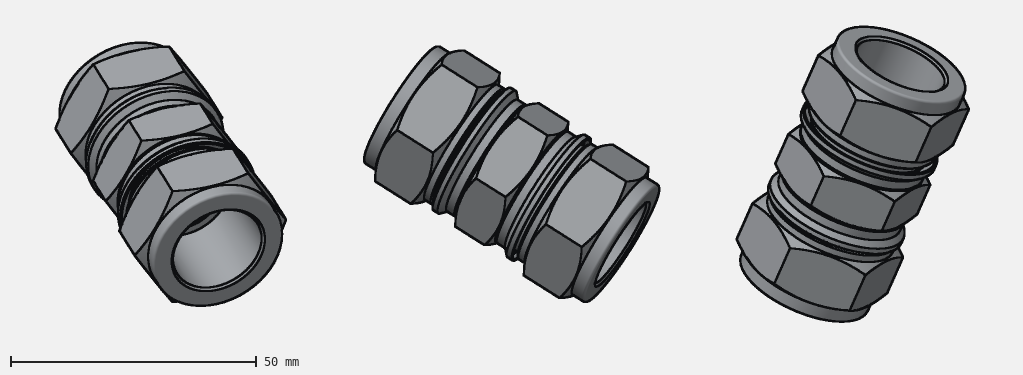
import cadquery as cq
import math

length = 53.85
half_length = length / 2
bore_diameter = 15.8
socket_diameter = 19.3
socket_depth = 18.85
socket_chamfer = 0.55

nut_corner_diameter = 33.0
nut_start = 2.95
nut_end = 14.7
nut_lip_diameter = 28.2
nut_lip_fillet = 0.55
nut_collar_diameter = 27.8
nut_collar_end = 16.65
nut_collar_chamfer = 0.4

groove_diameter = 25.4
groove_end = 18.05
flange_diameter = 29.5
flange_start = 17.3
flange_end = 18.5
flange_rim_width = 0.45
flange_recess_depth = 2.25
flange_core_diameter = 24.2
flange_cone_end = 19.75
shoulder_diameter = 26.9
shoulder_chamfer = 0.4

hex_length = 9.6
hex_start = half_length - hex_length / 2
hex_corner_diameter = shoulder_diameter / math.cos(math.pi / 6)

corner_slope = math.tan(math.radians(30))


def revolve_about_x(points):
    """Solid of revolution about X from a profile of (x, radius) points."""
    profile = cq.Workplane("XY").polyline(points).close()
    return profile.revolve(360, (0, 0, 0), (1, 0, 0))


def chamfered_hexagon(center_x, thickness, corner_diameter, face_diameter):
    """Hexagonal prism along X, corners on Y, with conical corner chamfers."""
    half = thickness / 2
    face_radius = face_diameter / 2
    corner_radius = corner_diameter / 2
    chamfer = (corner_radius - face_radius) * corner_slope
    prism = (
        cq.Workplane("YZ")
        .workplane(offset=-half)
        .polygon(6, corner_diameter)
        .extrude(thickness)
    )
    envelope = revolve_about_x([
        (-half, 0),
        (-half, face_radius),
        (chamfer - half, corner_radius),
        (half - chamfer, corner_radius),
        (half, face_radius),
        (half, 0),
    ])
    return prism.intersect(envelope).translate((center_x, 0, 0))


def disc(start, end, diameter):
    """Disc between two distances from the left end."""
    return (
        cq.Workplane("YZ")
        .workplane(offset=start - half_length)
        .circle(diameter / 2)
        .extrude(end - start)
    )


def nut():
    """Left nut: hexagon with a rounded outer lip and a chamfered inner collar."""
    middle = (nut_start + nut_end) / 2
    hexagon = chamfered_hexagon(
        middle - half_length,
        nut_end - nut_start,
        nut_corner_diameter,
        nut_collar_diameter,
    )
    lip = disc(0, middle, nut_lip_diameter).faces("<X").edges().fillet(nut_lip_fillet)
    collar = disc(middle, nut_collar_end, nut_collar_diameter)
    collar = collar.faces(">X").edges().chamfer(nut_collar_chamfer)
    return hexagon.union(lip).union(collar)


def body_half():
    """Turned body, with a cupped flange, from the left nut to the middle of the part."""
    groove_radius = groove_diameter / 2
    flange_radius = flange_diameter / 2
    shoulder_radius = shoulder_diameter / 2
    recess_end = flange_start + flange_recess_depth
    neck_radius = shoulder_radius - shoulder_chamfer
    return revolve_about_x([
        (x - half_length, radius)
        for x, radius in [
            (nut_end, 0),
            (nut_end, groove_radius),
            (groove_end, groove_radius),
            (groove_end, flange_core_diameter / 2),
            (recess_end, flange_core_diameter / 2),
            (flange_end, flange_radius - flange_rim_width),
            (flange_start, flange_radius - flange_rim_width),
            (flange_start, flange_radius),
            (flange_end, flange_radius),
            (flange_cone_end, shoulder_radius),
            (hex_start - shoulder_chamfer, shoulder_radius),
            (hex_start, neck_radius),
            (half_length, neck_radius),
            (half_length, 0),
        ]
    ])


def socket():
    """Tube socket cut in the left end, with a chamfered mouth."""
    radius = socket_diameter / 2
    return revolve_about_x([
        (-half_length, 0),
        (-half_length, radius + socket_chamfer),
        (socket_chamfer - half_length, radius),
        (socket_depth - half_length, radius),
        (socket_depth - half_length, 0),
    ])


left_half = nut().union(body_half()).cut(socket())
right_half = left_half.mirror("YZ")
center_hexagon = chamfered_hexagon(0, hex_length, hex_corner_diameter, shoulder_diameter)
bore = (
    cq.Workplane("YZ")
    .workplane(offset=-half_length)
    .circle(bore_diameter / 2)
    .extrude(length)
)

result = left_half.union(right_half).union(center_hexagon).cut(bore)